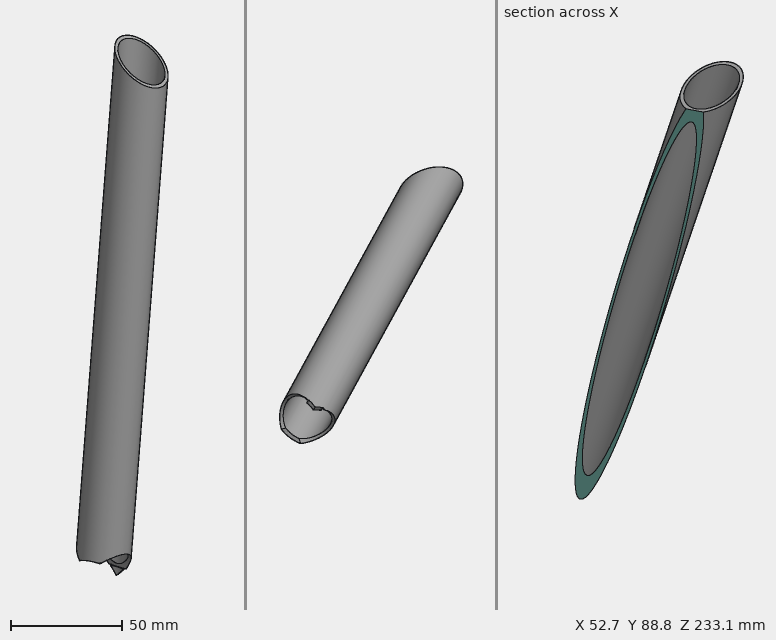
import cadquery as cq

outer_diameter = 25.0
wall_thickness = 1.5
inner_diameter = outer_diameter - 2 * wall_thickness

axis_start = cq.Vector(0, 0.5, 0)
axis_direction = cq.Vector(-0.1265, 0.296, 1).normalized()
axis_length = 232.6

mitre_normal = cq.Vector(0.51, 0.035, 0.86)

cope_diameter = outer_diameter
front_cope_diameter = outer_diameter
front_cope_start = cq.Vector(0.6, 0, 0)
front_cope_direction = cq.Vector(0, -1, -0.31)

tongue_half_width = 3.7
tongue_depth = 3.7

overrun = 3 * outer_diameter


def raw_tube():
    start = axis_start - axis_direction * overrun
    profile = cq.Workplane(cq.Plane(start, normal=axis_direction))
    rings = profile.circle(outer_diameter / 2).circle(inner_diameter / 2)
    return rings.extrude(axis_length + 2 * overrun)


def material_above_mitre():
    mitre_centre = axis_start + axis_direction * axis_length
    mitre_plane = cq.Workplane(cq.Plane(mitre_centre, normal=mitre_normal))
    return mitre_plane.rect(2 * overrun, 2 * overrun).extrude(2 * overrun)


def upper_half_of_crossing_tube():
    radius = cope_diameter / 2
    half_disc = cq.Workplane("YZ").moveTo(-radius, 0).threePointArc((0, radius), (radius, 0)).close()
    return half_disc.extrude(overrun, both=True)


def front_tube():
    end = cq.Workplane(cq.Plane(front_cope_start, normal=front_cope_direction))
    return end.circle(front_cope_diameter / 2).extrude(overrun)


def space_below_tongue():
    outline = [
        (-overrun, 0),
        (-tongue_half_width, 0),
        (0, -tongue_depth),
        (tongue_half_width, 0),
        (overrun, 0),
        (overrun, -2 * overrun),
        (-overrun, -2 * overrun),
    ]
    return cq.Workplane("XZ").polyline(outline).close().extrude(overrun, both=True)


result = raw_tube()
cutters = [
    material_above_mitre(),
    upper_half_of_crossing_tube(),
    front_tube(),
    space_below_tongue(),
]
for cutter in cutters:
    result = result.cut(cutter)